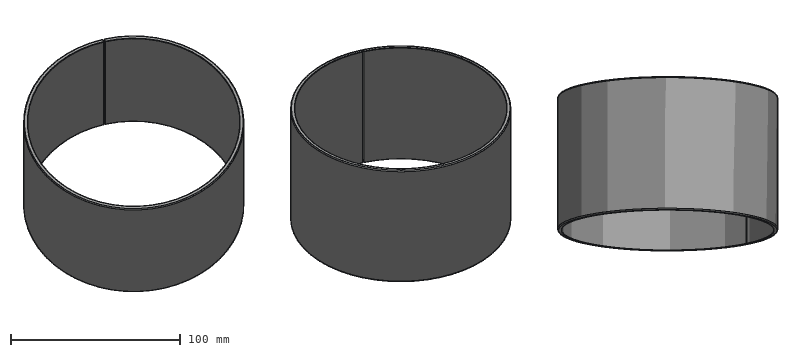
import cadquery as cq

outer_diameter = 130.0
wall = 2.5
height = 80.0
outer_chamfer_height = 0.8
outer_chamfer_width = 0.5
inner_edge_chamfer = 0.3
slit_width = 1.0

outer_radius = outer_diameter / 2
inner_radius = outer_radius - wall


def sleeve():
    """Revolve the wall section, with broad chamfers outside and fine ones inside."""
    low = outer_chamfer_height
    high = height - outer_chamfer_height
    outer_flat = outer_radius - outer_chamfer_width
    inner_flat = inner_radius + inner_edge_chamfer
    section = cq.Workplane("XZ").polyline([
        (inner_flat, 0),
        (outer_flat, 0),
        (outer_radius, low),
        (outer_radius, high),
        (outer_flat, height),
        (inner_flat, height),
        (inner_radius, height - inner_edge_chamfer),
        (inner_radius, inner_edge_chamfer),
    ]).close()
    return section.revolve(360, (0, 0, 0), (0, 1, 0))


def slit():
    """Full-height cutter through the wall on the -X side, with one face on the XZ plane."""
    return cq.Workplane("XY").box(
        outer_radius, slit_width, height, centered=False
    ).translate((-outer_radius, 0, 0))


result = sleeve().cut(slit())